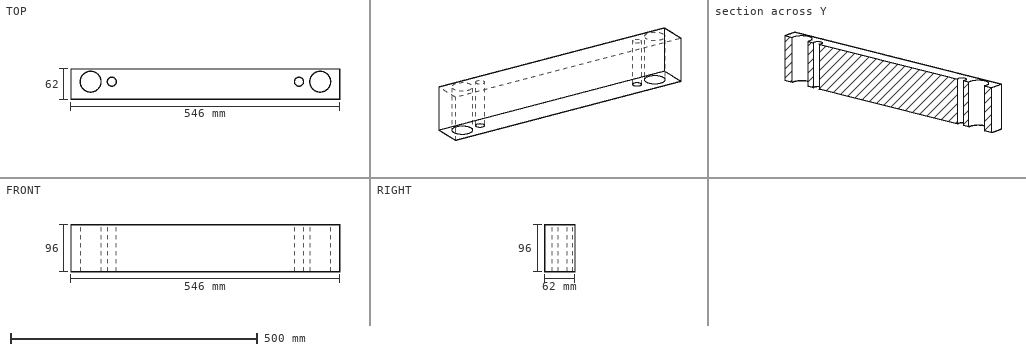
import cadquery as cq

length = 546.0
width = 62.0
height = 96.0

hole_line_offset = 5.0
large_diameter = 42.0
large_spacing = 466.0
small_diameter = 18.0
small_spacing = 380.0


def make_bar():
    """Plain rectangular bar centred on the origin."""
    return cq.Workplane("XY").box(length, width, height)


def cut_hole_pair(body, diameter, spacing):
    """Cut two vertical through holes, spaced evenly about the middle of the bar."""
    centres = [(side * spacing / 2, hole_line_offset) for side in (-1, 1)]
    return body.faces(">Z").workplane(origin=(0, 0, 0)).pushPoints(centres).hole(diameter)


result = make_bar()
result = cut_hole_pair(result, large_diameter, large_spacing)
result = cut_hole_pair(result, small_diameter, small_spacing)